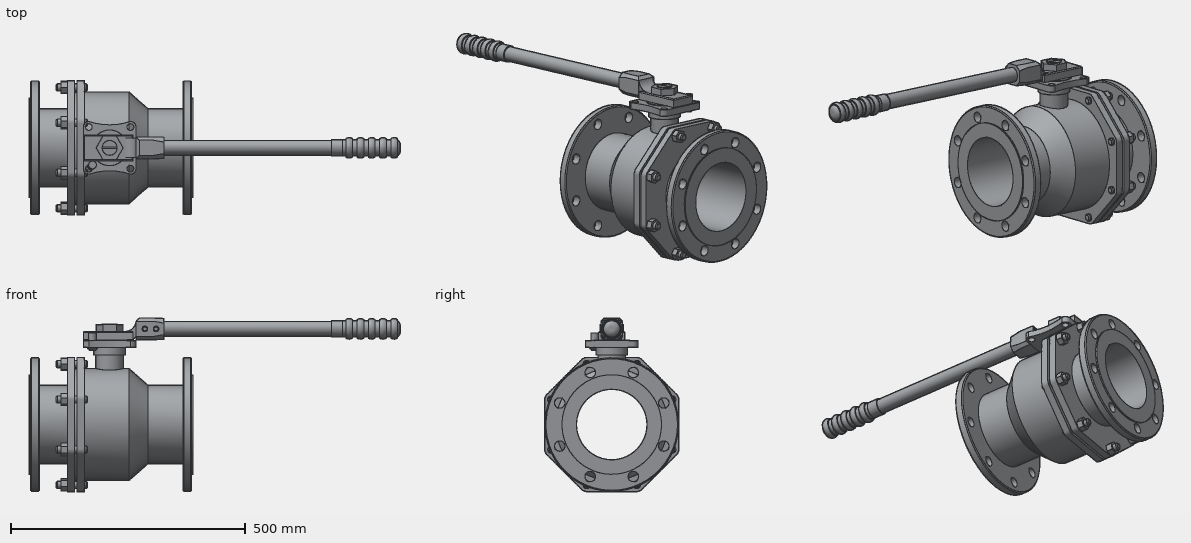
import cadquery as cq
import math


hex_sides = 6

valve_length = 350.0
bore_dia = 150.0
pipe_dia = 168.0
body_dia = 239.0
gasket_dia = 237.5
cone_start_x = 213.0
cone_end_x = 253.5

flange_dia = 285.0
flange_thickness = 19.0
raised_face_dia = 212.0
raised_face_height = 3.0
flange_chamfer = 2.0
flange_hole_dia = 22.0
flange_hole_circle_dia = 240.0
bolts_per_flange = 8
bolt_pitch_angle = 360 / bolts_per_flange

octagon_width = 287.0
octagon_corner_radius = 16.0
joint_start_x = 81.5
joint_plate_thickness = 16.0
joint_gap = 5.0
joint_end_x = joint_start_x + 2 * joint_plate_thickness + joint_gap
stud_circle_dia = 279.0
stud_dia = 16.0
stud_start_x = 58.0
stud_protrusion = 6.0
stud_chamfer = 2.0
stud_nut_width = 24.0
stud_nut_height = 13.5

stem_x = 172.0
neck_dia = 59.5
neck_top_z = 148.0
collar_dia = 68.0
mount_bottom_z = 165.0
mount_thickness = 14.0
mount_top_z = mount_bottom_z + mount_thickness
mount_hole_offset = 44.0
mount_hole_dia = 14.0
mount_corner_radius = 12.0
mount_waist_half_width = 49.0
spacer_dia = 76.0

stop_offset = 36.5
stop_dia = 17.0
stop_top_z = 196.0
stop_head_dia = 22.0
stop_head_height = 6.0
stop_head_chamfer = 5.0

lever_width = 55.5
lever_start_x = stem_x - mount_hole_offset - mount_corner_radius
lever_end_x = 222.0
lever_bottom_z = 180.5
lever_top_z = 199.0
lever_chamfer = 2.0
ramp_width = 42.0
ramp_start_x = 203.5
socket_start_x = 228.0
socket_taper_x = 265.0
socket_end_x = 287.5
socket_size = 47.0
socket_end_size = 45.0
socket_chamfer = 7.0
socket_end_chamfer = 10.0
socket_nose = 7.0
rod_z = lever_bottom_z + socket_size / 2
socket_screw_dia = 12.0
socket_screw_protrusion = 1.0
socket_screw_x = (247.0, 271.0)
screw_recess_width = 8.0
screw_recess_depth = 4.0

stem_nut_width = 50.0
stem_nut_top_z = 213.0
stem_end_dia = 32.0
stem_end_z = 215.0
stem_slot_width = 3.0
stem_slot_depth = 3.0

rod_dia = 32.0
grip_start_x = 645.0
sleeve_end_x = 668.5
sleeve_dia = 36.0
grip_dia = 35.0
grip_end_x = 792.0
grip_end_length = 6.0
grip_end_face_dia = 13.0
grip_end_bulge = 1.5
rib_dia = 44.0
rib_shoulder_dia = 39.5
rib_width = 14.0
rib_count = 5
first_rib_x = 683.0
last_rib_x = grip_end_x - grip_end_length - rib_width / 2
rib_pitch = (last_rib_x - first_rib_x) / (rib_count - 1)


def cylinder_x(dia, x_start, x_end):
    return cq.Workplane("YZ", origin=(x_start, 0, 0)).circle(dia / 2).extrude(x_end - x_start)


def stem_cylinder(dia, z_bottom, z_top, dx=0, dy=0):
    plane = cq.Workplane("XY", origin=(stem_x + dx, dy, z_bottom))
    return plane.circle(dia / 2).extrude(z_top - z_bottom)


def bolt_positions(circle_dia):
    """Return (angle, y, z) of every bolt; two bolts straddle each axis."""
    angles = [(i + 0.5) * bolt_pitch_angle for i in range(bolts_per_flange)]
    radius = circle_dia / 2
    return [
        (a, radius * math.cos(math.radians(a)), radius * math.sin(math.radians(a)))
        for a in angles
    ]


def make_pipe():
    profile = [
        (raised_face_height, 0),
        (raised_face_height, pipe_dia / 2),
        (joint_end_x, pipe_dia / 2),
        (joint_end_x, body_dia / 2),
        (cone_start_x, body_dia / 2),
        (cone_end_x, pipe_dia / 2),
        (valve_length - raised_face_height, pipe_dia / 2),
        (valve_length - raised_face_height, 0),
    ]
    return cq.Workplane("XZ").polyline(profile).close().revolve(360, (0, 0, 0), (1, 0, 0))


def make_inlet_flange():
    face = cylinder_x(raised_face_dia, 0, raised_face_height)
    disc = cylinder_x(flange_dia, raised_face_height, raised_face_height + flange_thickness)
    disc = disc.edges().chamfer(flange_chamfer)
    centres = [(y, z) for _, y, z in bolt_positions(flange_hole_circle_dia)]
    holes = (
        cq.Workplane("YZ").pushPoints(centres).circle(flange_hole_dia / 2)
        .extrude(raised_face_height + flange_thickness)
    )
    return face.union(disc).cut(holes)


def make_joint_plate(x_start):
    return (
        cq.Workplane("YZ", origin=(x_start, 0, 0))
        .polygon(bolts_per_flange, octagon_width, circumscribed=True)
        .extrude(joint_plate_thickness)
        .edges("|X").fillet(octagon_corner_radius)
    )


def make_stud():
    """One stud with its nut, standing on the X axis."""
    stud = cylinder_x(stud_dia, stud_start_x, joint_end_x + stud_protrusion)
    stud = stud.faces("<X or >X").chamfer(stud_chamfer)
    nut = (
        cq.Workplane("YZ", origin=(joint_start_x, 0, 0))
        .polygon(hex_sides, stud_nut_width, circumscribed=True)
        .extrude(-stud_nut_height)
    )
    return stud.union(nut)


def make_joint():
    second_plate_x = joint_start_x + joint_plate_thickness + joint_gap
    joint = make_joint_plate(joint_start_x).union(make_joint_plate(second_plate_x))
    joint = joint.union(cylinder_x(gasket_dia, joint_start_x, joint_end_x))
    stud = make_stud()
    for angle, y, z in bolt_positions(stud_circle_dia):
        turn = angle - bolt_pitch_angle / 2
        joint = joint.union(stud.rotate((0, 0, 0), (1, 0, 0), turn).translate((0, y, z)))
    return joint


def make_mount():
    inner = mount_hole_offset
    outer = mount_hole_offset + mount_corner_radius
    corner = mount_corner_radius * math.sqrt(0.5) + mount_hole_offset
    waist = mount_waist_half_width
    plate = (
        cq.Workplane("XY", origin=(stem_x, 0, mount_bottom_z))
        .moveTo(-inner, outer)
        .threePointArc((0, waist), (inner, outer))
        .threePointArc((corner, corner), (outer, inner))
        .lineTo(outer, -inner)
        .threePointArc((corner, -corner), (inner, -outer))
        .threePointArc((0, -waist), (-inner, -outer))
        .threePointArc((-corner, -corner), (-outer, -inner))
        .lineTo(-outer, inner)
        .threePointArc((-corner, corner), (-inner, outer))
        .close()
        .extrude(mount_thickness)
    )
    holes = (
        cq.Workplane("XY", origin=(stem_x, 0, mount_bottom_z))
        .rect(2 * inner, 2 * inner, forConstruction=True).vertices()
        .circle(mount_hole_dia / 2).extrude(mount_thickness)
    )
    neck = stem_cylinder(neck_dia, bore_dia / 2, neck_top_z)
    collar = stem_cylinder(collar_dia, neck_top_z, mount_bottom_z)
    spacer = stem_cylinder(spacer_dia, mount_top_z, lever_bottom_z)
    return plate.cut(holes).union(neck).union(collar).union(spacer)


def make_stop_pin():
    pin = stem_cylinder(stop_dia, mount_bottom_z, stop_top_z, -stop_offset, -stop_offset)
    head_z = mount_bottom_z - stop_head_height
    head = stem_cylinder(stop_head_dia, head_z, mount_bottom_z, -stop_offset, -stop_offset)
    return pin.union(head.faces("<Z").chamfer(stop_head_chamfer))


def chamfered_square(x, size, chamfer):
    """Closed wire of a square with cut corners, centred on the rod axis."""
    half = size / 2
    short = half - chamfer
    points = [
        (half, -short), (half, short), (short, half), (-short, half),
        (-half, short), (-half, -short), (-short, -half), (short, -half),
    ]
    return cq.Workplane("YZ", origin=(x, 0, rod_z)).polyline(points).close()


def make_socket():
    socket = chamfered_square(socket_start_x, socket_size, socket_chamfer)
    socket = socket.extrude(socket_taper_x - socket_start_x)
    socket = socket.faces("<X").edges(">Z").chamfer(socket_nose)
    start = chamfered_square(socket_taper_x, socket_size, socket_chamfer).wires().val()
    end = chamfered_square(socket_end_x, socket_end_size, socket_end_chamfer).wires().val()
    socket = socket.union(cq.Workplane(cq.Solid.makeLoft([start, end], True)))

    outer_y = -socket_size / 2 - socket_screw_protrusion
    for x in socket_screw_x:
        plane = cq.Workplane("XZ", origin=(x, outer_y, rod_z))
        screw = plane.circle(socket_screw_dia / 2).extrude(outer_y)
        recess = plane.polygon(hex_sides, screw_recess_width, circumscribed=True)
        socket = socket.union(screw).cut(recess.extrude(-screw_recess_depth))
    return socket


def make_lever():
    lever_length = lever_end_x - lever_start_x
    plate = (
        cq.Workplane("XY", origin=(lever_start_x + lever_length / 2, 0, lever_bottom_z))
        .rect(lever_length, lever_width).extrude(lever_top_z - lever_bottom_z)
        .faces(">Z").chamfer(lever_chamfer)
    )
    run = socket_start_x - ramp_start_x
    ramp_top_z = lever_bottom_z + socket_size - socket_nose
    rise = ramp_top_z - lever_top_z
    mid = (ramp_start_x + run * math.sqrt(0.5), lever_top_z + rise * (1 - math.sqrt(0.5)))
    ramp = (
        cq.Workplane("XZ")
        .moveTo(ramp_start_x, lever_bottom_z)
        .lineTo(ramp_start_x, lever_top_z)
        .threePointArc(mid, (socket_start_x, ramp_top_z))
        .lineTo(socket_start_x, lever_bottom_z + socket_chamfer)
        .lineTo(lever_end_x, lever_bottom_z)
        .close()
        .extrude(ramp_width / 2, both=True)
    )
    return plate.union(ramp).union(make_socket())


def make_stem_nut():
    nut = (
        cq.Workplane("XY", origin=(stem_x, 0, lever_top_z))
        .polygon(hex_sides, stem_nut_width, circumscribed=True)
        .extrude(stem_nut_top_z - lever_top_z)
        .rotate((stem_x, 0, 0), (stem_x, 0, 1), 360 / hex_sides / 2)
    )
    stem_end = stem_cylinder(stem_end_dia, lever_top_z, stem_end_z)
    slot = (
        cq.Workplane("XY", origin=(stem_x, 0, stem_end_z))
        .rect(stem_end_dia, stem_slot_width).extrude(-stem_slot_depth)
    )
    return nut.union(stem_end).cut(slot)


def make_rod():
    """Rod and ribbed grip as one profile revolved about the rod axis."""
    profile = (
        cq.Workplane("XZ", origin=(0, 0, rod_z))
        .moveTo(socket_taper_x, 0)
        .lineTo(socket_taper_x, rod_dia / 2)
        .lineTo(grip_start_x, rod_dia / 2)
        .lineTo(grip_start_x, sleeve_dia / 2)
        .lineTo(sleeve_end_x, sleeve_dia / 2)
        .lineTo(sleeve_end_x, grip_dia / 2)
    )
    for i in range(rib_count):
        rib_x = first_rib_x + i * rib_pitch
        profile = (
            profile
            .lineTo(rib_x - rib_width / 2, grip_dia / 2)
            .lineTo(rib_x - rib_width / 2, rib_shoulder_dia / 2)
            .threePointArc((rib_x, rib_dia / 2), (rib_x + rib_width / 2, rib_shoulder_dia / 2))
            .lineTo(rib_x + rib_width / 2, grip_dia / 2)
        )
    profile = (
        profile
        .sagittaArc((grip_end_x, grip_end_face_dia / 2), grip_end_bulge)
        .lineTo(grip_end_x, 0)
        .close()
    )
    return profile.revolve(360, (0, 0, 0), (1, 0, 0))


inlet_flange = make_inlet_flange()
outlet_flange = inlet_flange.mirror("YZ").translate((valve_length, 0, 0))

result = make_pipe().union(inlet_flange).union(outlet_flange).union(make_joint())
result = result.union(make_mount()).union(make_stop_pin())
result = result.union(make_lever()).union(make_stem_nut()).union(make_rod())
result = result.cut(cylinder_x(bore_dia, 0, valve_length))